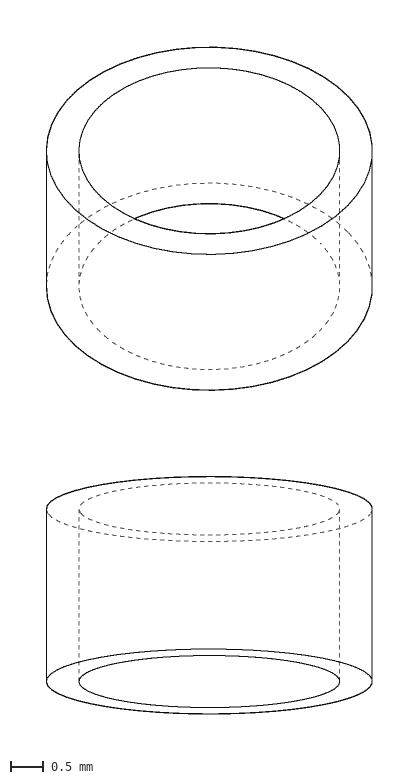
import cadquery as cq

outer_diameter = 5.0
wall_thickness = 0.5
height = 2.7

inner_diameter = outer_diameter - 2 * wall_thickness

result = (
    cq.Workplane("XY")
    .circle(outer_diameter / 2)
    .circle(inner_diameter / 2)
    .extrude(height)
)